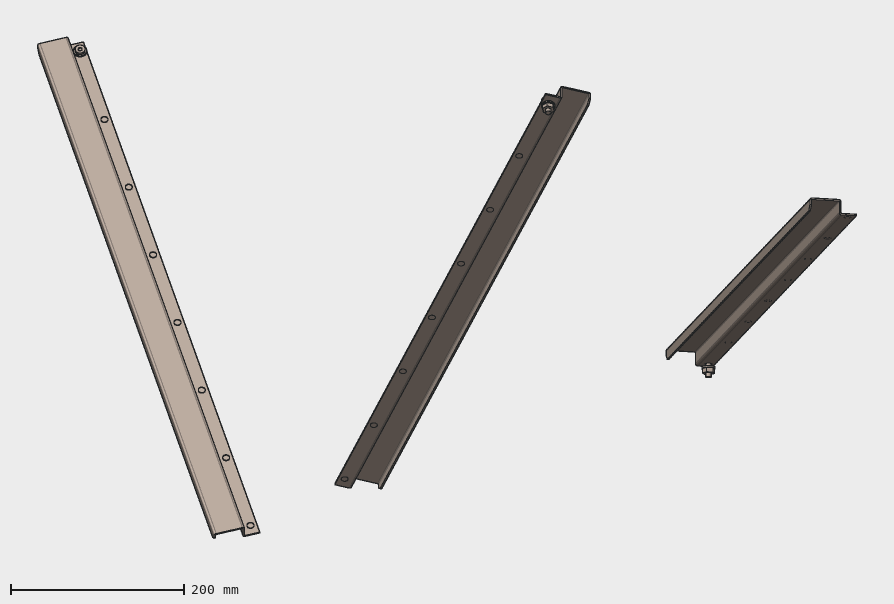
import cadquery as cq

length = 736.5
depth = 55.0
sheet = 2.0
flange_width = 18.5
rail_height = 18.5
lip_height = 14.0
lip_chamfer = 6.0
inner_bend = 1.0
outer_bend = inner_bend + sheet

hole_count = 8
hole_diameter = 8.0
recess_depth = sheet / 2
end_margin = 12.5
hole_pitch = (length - 2 * end_margin) / (hole_count - 1)

bolt_diameter = 6.5
nut_width = 12.5
socket_width = 4.5
socket_depth = 1.5
head_diameter = 12.0
hex_corner_factor = 2 / 3 ** 0.5
hex_turn = 30.0
head_height = 3.0
washer_diameter = 15.5
washer_thickness = 2.05
clamp_gap = 4.0
nut_height = 5.0
overall_height = 34.0

flange_bottom = -rail_height
flange_top = flange_bottom + sheet
upper_washer_top = flange_top + washer_thickness
lower_washer_top = flange_bottom - clamp_gap
nut_top = lower_washer_top - washer_thickness
bolt_x = end_margin
hole_y = depth - washer_diameter / 2
web_rear = depth - flange_width
web_front = web_rear - sheet


def bolt_plane(level):
    """Horizontal workplane on the bolt axis."""
    return cq.Workplane("XY", origin=(bolt_x, hole_y, level))


def make_rail():
    """Constant bent section, with cut lip corners and a bolt hole and a row of blind recesses."""
    section = [
        (0, -lip_height),
        (0, 0),
        (web_rear, 0),
        (web_rear, flange_top),
        (depth, flange_top),
        (depth, flange_bottom),
        (web_front, flange_bottom),
        (web_front, -sheet),
        (sheet, -sheet),
        (sheet, -lip_height),
    ]
    rail = cq.Workplane("YZ").polyline(section).close().extrude(length)

    outer_corners = [(0, 0), (web_rear, 0), (web_front, flange_bottom)]
    inner_corners = [(sheet, -sheet), (web_front, -sheet), (web_rear, flange_top)]
    for corners, radius in ((outer_corners, outer_bend), (inner_corners, inner_bend)):
        for y, z in corners:
            edge = cq.selectors.NearestToPointSelector((length / 2, y, z))
            rail = rail.edges("|X").edges(edge).fillet(radius)

    for x in (0, length):
        corner = cq.selectors.NearestToPointSelector((x, sheet / 2, -lip_height))
        rail = rail.edges("|Y").edges(corner).chamfer(lip_chamfer)

    bolt_hole = bolt_plane(flange_bottom).circle(hole_diameter / 2).extrude(sheet)
    recesses = (
        cq.Workplane("XY", origin=(0, hole_y, flange_top - recess_depth))
        .pushPoints([(end_margin + i * hole_pitch, 0) for i in range(1, hole_count)])
        .circle(hole_diameter / 2)
        .extrude(recess_depth)
    )
    return rail.cut(bolt_hole).cut(recesses)


def make_hexagon(bottom, height, width):
    """Hexagonal prism on the bolt axis."""
    plane = bolt_plane(bottom).transformed(rotate=(0, 0, hex_turn))
    return plane.polygon(6, width * hex_corner_factor).extrude(height)


def make_bolt():
    """Round socket head with a plain shank down to the lowest level."""
    shank = bolt_plane(-overall_height).circle(bolt_diameter / 2)
    shank = shank.extrude(overall_height + upper_washer_top)
    head = bolt_plane(upper_washer_top).circle(head_diameter / 2).extrude(head_height)
    socket_bottom = upper_washer_top + head_height - socket_depth
    socket = make_hexagon(socket_bottom, socket_depth, socket_width)
    return shank.union(head).cut(socket)


def make_washer(top):
    """Flat ring fitted on the shank."""
    ring = bolt_plane(top - washer_thickness).circle(washer_diameter / 2)
    return ring.circle(bolt_diameter / 2).extrude(washer_thickness)


def make_nut():
    """Hexagon nut below the lower washer, bored to the shank diameter."""
    nut = make_hexagon(nut_top - nut_height, nut_height, nut_width)
    bore = bolt_plane(nut_top - nut_height).circle(bolt_diameter / 2).extrude(nut_height)
    return nut.cut(bore)


rail = make_rail()
bolt = make_bolt()
washers = [make_washer(top) for top in (upper_washer_top, lower_washer_top)]
nut = make_nut()

result = cq.Compound.makeCompound(
    [rail.val(), bolt.val(), *[washer.val() for washer in washers], nut.val()]
)